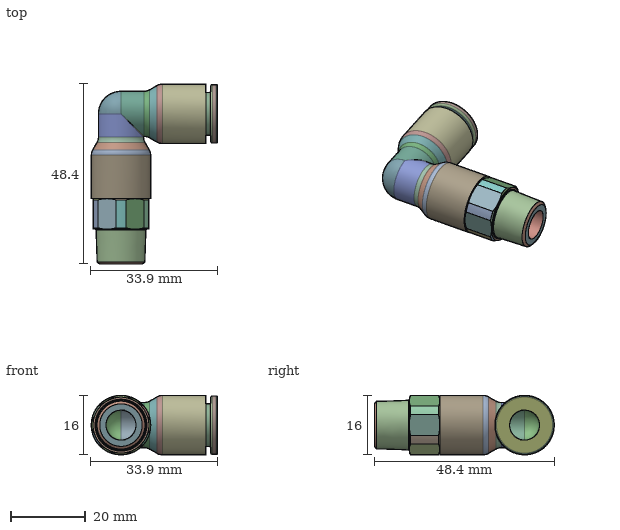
import cadquery as cq
import math


overall_length_x = 33.9
overall_length_y = 48.35

bore_radius = 4.0

barrel_diameter = 16.0
barrel_radius = barrel_diameter / 2
elbow_radius = 6.1
crotch_fillet = 0.15
elbow_straight = elbow_radius + crotch_fillet
flare_blend_radius = 2.9
flare_angle = math.radians(30)
barrel_end = 22.75

collet_radius = 5.8
collet_flange_radius = 7.9
collet_flange_start = 24.1
collet_end = overall_length_x - barrel_radius
collet_back_fillet = 0.55
collet_front_fillet = 0.35
collet_root_fillet = 0.25

hex_across_flats = 15.0
hex_end = 30.95
hex_chamfer_length = 0.35
collar_radius = 6.95
thread_start = 31.15
thread_start_radius = 6.7
thread_end_radius = 6.45
stud_end = overall_length_y - barrel_radius
tip_chamfer_length = 0.6
tip_radius = 5.7

blend_length = flare_blend_radius * math.sin(flare_angle)
blend_rise = flare_blend_radius * (1 - math.cos(flare_angle))
cone_rise = barrel_radius - elbow_radius - 2 * blend_rise
cone_start = elbow_straight + blend_length
cone_end = cone_start + cone_rise / math.tan(flare_angle)
flare_end = cone_end + blend_length


def revolve_about_x(profile):
    """Spin a closed XY profile, drawn as (distance along axis, radius), about the X axis."""
    return profile.revolve(360, (0, 0, 0), (1, 0, 0))


def rod_along_x(radius, start, end):
    return cq.Workplane("YZ", origin=(start, 0, 0)).circle(radius).extrude(end - start)


def turn_to_minus_y(body):
    return body.rotate((0, 0, 0), (0, 0, 1), -90)


def make_flared_barrel():
    """Solid outer end of an arm: a smooth flare from the neck up to the wide barrel."""
    profile = (
        cq.Workplane("XY")
        .moveTo(barrel_end, 0)
        .lineTo(barrel_end, barrel_radius)
        .lineTo(flare_end, barrel_radius)
        .tangentArcPoint((cone_end, barrel_radius - blend_rise), relative=False)
        .lineTo(cone_start, elbow_radius + blend_rise)
        .tangentArcPoint((elbow_straight, elbow_radius), relative=False)
        .lineTo(elbow_straight, 0)
        .close()
    )
    return revolve_about_x(profile)


def make_necks():
    """Two necks joined by a ball at the corner, with the two halves of the inside mitre rounded."""
    neck = rod_along_x(elbow_radius, 0, cone_start)
    necks = cq.Workplane("XY").sphere(elbow_radius).union(neck).union(turn_to_minus_y(neck))
    mitre_box = cq.selectors.BoxSelector((0, -elbow_radius, -elbow_radius), (elbow_radius, 0, elbow_radius))
    return necks.edges("%ELLIPSE").edges(mitre_box).fillet(crotch_fillet)


def make_housing():
    barrel = make_flared_barrel()
    outside = make_necks().union(barrel).union(turn_to_minus_y(barrel))

    arm_bore = rod_along_x(bore_radius, 0, barrel_end)
    passage = cq.Workplane("XY").sphere(bore_radius).union(arm_bore).union(turn_to_minus_y(arm_bore))

    socket = rod_along_x(collet_radius, flare_end, barrel_end)
    return outside.cut(passage).cut(socket)


def make_collet():
    """Release collet: a sleeve inside the barrel and a round-edged flange outside it."""
    profile = (
        cq.Workplane("XY")
        .moveTo(flare_end, bore_radius)
        .lineTo(flare_end, collet_radius)
        .lineTo(collet_flange_start - collet_root_fillet, collet_radius)
        .tangentArcPoint((collet_flange_start, collet_radius + collet_root_fillet), relative=False)
        .lineTo(collet_flange_start, collet_flange_radius - collet_back_fillet)
        .tangentArcPoint((collet_flange_start + collet_back_fillet, collet_flange_radius), relative=False)
        .lineTo(collet_end - collet_front_fillet, collet_flange_radius)
        .tangentArcPoint((collet_end, collet_flange_radius - collet_front_fillet), relative=False)
        .lineTo(collet_end, bore_radius)
        .close()
    )
    return revolve_about_x(profile)


def make_hex():
    """Hexagon whose corners are rounded to the barrel radius and chamfered at both ends."""
    hex_length = hex_end - barrel_end
    flat_radius = hex_across_flats / 2
    hexagon = (
        cq.Workplane("YZ", origin=(barrel_end, 0, 0))
        .polygon(6, hex_across_flats, circumscribed=True)
        .extrude(hex_length)
    )
    rounded_envelope = revolve_about_x(
        cq.Workplane("XY").polyline([
            (barrel_end, 0),
            (barrel_end, flat_radius),
            (barrel_end + hex_chamfer_length, barrel_radius),
            (hex_end - hex_chamfer_length, barrel_radius),
            (hex_end, flat_radius),
            (hex_end, 0),
        ]).close()
    )
    return hexagon.intersect(rounded_envelope)


def make_stud():
    """Hexagon with a tapered, chamfered thread blank, bored through."""
    thread = revolve_about_x(
        cq.Workplane("XY").polyline([
            (hex_end, 0),
            (hex_end, collar_radius),
            (thread_start, thread_start_radius),
            (stud_end - tip_chamfer_length, thread_end_radius),
            (stud_end, tip_radius),
            (stud_end, 0),
        ]).close()
    )
    stud = make_hex().union(thread).cut(rod_along_x(bore_radius, barrel_end, stud_end))
    return turn_to_minus_y(stud)


housing = make_housing()
collet = make_collet()
stud = make_stud()

result = cq.Compound.makeCompound([
    housing.solids().val(),
    collet.solids().val(),
    stud.solids().val(),
])